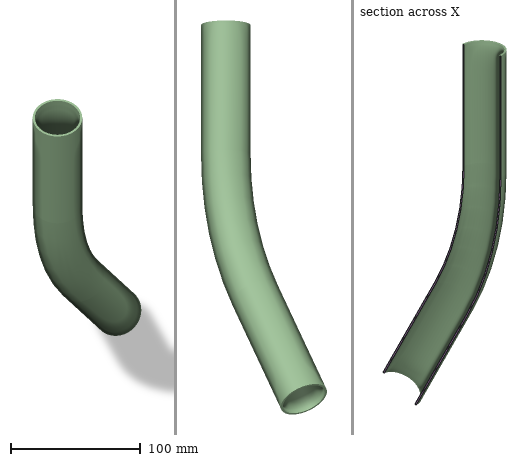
import cadquery as cq
import math

overall_height = 313.5
outer_diameter = 38.2
inner_diameter = 34.8
bend_radius = 228.5
bend_angle = 30.0

sin_bend = math.sin(math.radians(bend_angle))
cos_bend = math.cos(math.radians(bend_angle))
rim_drop = outer_diameter / 2 * sin_bend
leg_length = (overall_height - bend_radius * sin_bend - rim_drop) / (1 + cos_bend)


def bend_point(angle):
    """Point (Y, Z) on the bend axis, with the bend starting at the origin."""
    turn = math.radians(angle)
    return bend_radius * (1 - math.cos(turn)), -bend_radius * math.sin(turn)


bend_end_y, bend_end_z = bend_point(bend_angle)
tube_axis = (
    cq.Workplane("YZ")
    .moveTo(0, leg_length)
    .lineTo(0, 0)
    .threePointArc(bend_point(bend_angle / 2), (bend_end_y, bend_end_z))
    .lineTo(bend_end_y + leg_length * sin_bend, bend_end_z - leg_length * cos_bend)
)

result = (
    cq.Workplane("XY", origin=(0, 0, leg_length))
    .circle(outer_diameter / 2)
    .circle(inner_diameter / 2)
    .sweep(tube_axis)
)